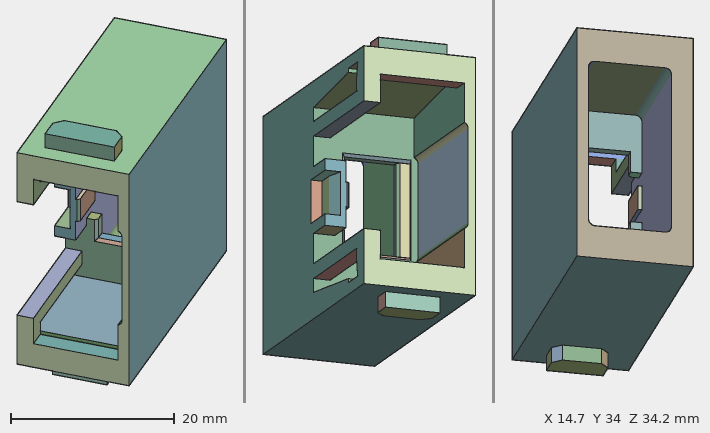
import cadquery as cq


WIDTH = 14.65
DEPTH = 34.0
OVERALL_HEIGHT = 34.2
TAB_HEIGHT = 2.0
BODY_HEIGHT = OVERALL_HEIGHT - 2 * TAB_HEIGHT

TAB_FRONT = 2.33
TAB_BACK = 6.05
TAB_CHAMFER = 1.1
TOP_TAB_X = (2.8, 11.85)
BOTTOM_TAB_X = (3.75, 10.88)

CAVITY_DEPTH = 16.93
CAVITY_HALF_HEIGHT = 11.73
CAVITY_LEFT = 2.15
CAVITY_RIGHT = 13.15
MOUTH_HALF_HEIGHT = 8.1
RELIEF_RIGHT = 13.68
RELIEF_HALF_HEIGHT = 6.77
RELIEF_RADIUS = 0.8

WINDOW_INNER_Z = 10.0
WINDOW_FRONT = 2.43
UNDERCUT_FRONT = 2.12
UNDERCUT_Z = 13.6
STEP_Y = 5.23
STEP_Z = 13.1

WEB_BACK = 18.5
OPENING_LEFT = 4.17
OPENING_RIGHT = 11.15
OPENING_HALF_HEIGHT = 6.0
LEAD_IN = 0.38
RECESS_RIGHT = 12.8
LEDGE_Y = 17.37
LEDGE_BEVEL = 0.38
NOTCH_HALF_HEIGHT = 3.3

REAR_RIGHT = CAVITY_RIGHT
REAR_HALF_HEIGHT = 10.88
REAR_RADIUS = RELIEF_RADIUS

LATCH_FRONT = 13.1
LATCH_THICKNESS = 2.77
LATCH_HALF_HEIGHT = 4.25
POCKET_HALF_HEIGHT = 2.77
POCKET_BACK = 17.85
POCKET_BEND_Y = 15.42
POCKET_FRONT_X = 2.05
POCKET_X = 1.45
RIB_HALF_HEIGHT = 1.57
RIB_FRONT_X = 2.9
RIB_X = 3.25


def box(x_range, y_range, z_range):
    """Box spanning the given (low, high) ranges."""
    size = [high - low for low, high in (x_range, y_range, z_range)]
    corner = (x_range[0], y_range[0], z_range[0])
    return cq.Workplane("XY").box(*size, centered=False).translate(corner)


def centred_box(x_range, y_range, half_height):
    """Box that is symmetric about Z = 0."""
    return box(x_range, y_range, (-half_height, half_height))


def centred_plate(xy_points, half_height):
    """Polygon in the XY plane extruded equally to both sides of Z = 0."""
    return cq.Workplane("XY").polyline(xy_points).close().extrude(half_height, both=True)


def tab(x_range, z_bottom):
    """Locating tab with its two rear corners chamfered."""
    block = box(x_range, (TAB_FRONT, TAB_BACK), (z_bottom, z_bottom + TAB_HEIGHT))
    return block.edges("|Z and >Y").chamfer(TAB_CHAMFER)


def front_cavity():
    """Main cavity with its mouth through the latch-side wall and the channel in the far wall."""
    y_range = (0, CAVITY_DEPTH)
    main = centred_box((CAVITY_LEFT, CAVITY_RIGHT), y_range, CAVITY_HALF_HEIGHT)
    mouth = centred_box((0, CAVITY_RIGHT), y_range, MOUTH_HALF_HEIGHT)
    relief = centred_box((CAVITY_LEFT, RELIEF_RIGHT), y_range, RELIEF_HALF_HEIGHT)
    relief = relief.edges("|Y and >X").fillet(RELIEF_RADIUS)
    return main.union(mouth).union(relief)


def upper_window():
    """Side window with a sloped, stepped roof that undercuts the cavity ceiling."""
    outline = [
        (WINDOW_FRONT, WINDOW_INNER_Z),
        (WINDOW_FRONT, CAVITY_HALF_HEIGHT),
        (UNDERCUT_FRONT, UNDERCUT_Z),
        (STEP_Y, UNDERCUT_Z),
        (STEP_Y, STEP_Z),
        (CAVITY_DEPTH, CAVITY_HALF_HEIGHT),
        (CAVITY_DEPTH, WINDOW_INNER_Z),
    ]
    return cq.Workplane("YZ").polyline(outline).close().extrude(CAVITY_RIGHT)


def web_opening():
    """Opening through the web, with a lead-in, a ledge on the far side and a notch by the latch."""
    through = centred_plate(
        [
            (OPENING_LEFT, CAVITY_DEPTH),
            (RECESS_RIGHT, CAVITY_DEPTH),
            (RECESS_RIGHT, LEDGE_Y),
            (OPENING_RIGHT + LEDGE_BEVEL, LEDGE_Y),
            (OPENING_RIGHT, LEDGE_Y + LEDGE_BEVEL),
            (OPENING_RIGHT, WEB_BACK),
            (OPENING_LEFT, WEB_BACK),
        ],
        OPENING_HALF_HEIGHT,
    )
    lead_in = centred_box(
        (OPENING_LEFT - LEAD_IN, RECESS_RIGHT),
        (CAVITY_DEPTH, CAVITY_DEPTH + LEAD_IN),
        OPENING_HALF_HEIGHT + LEAD_IN,
    )
    for z_side in (1, -1):
        wedge = [
            (CAVITY_DEPTH, z_side * (OPENING_HALF_HEIGHT + LEAD_IN)),
            (CAVITY_DEPTH + LEAD_IN, z_side * (OPENING_HALF_HEIGHT + LEAD_IN)),
            (CAVITY_DEPTH + LEAD_IN, z_side * OPENING_HALF_HEIGHT),
        ]
        lead_in = lead_in.cut(cq.Workplane("YZ").polyline(wedge).close().extrude(WIDTH))
    left_wedge = [
        (OPENING_LEFT - LEAD_IN, CAVITY_DEPTH),
        (OPENING_LEFT - LEAD_IN, CAVITY_DEPTH + LEAD_IN),
        (OPENING_LEFT, CAVITY_DEPTH + LEAD_IN),
    ]
    lead_in = lead_in.cut(centred_plate(left_wedge, BODY_HEIGHT / 2))
    notch = centred_box((LATCH_THICKNESS, OPENING_LEFT), (CAVITY_DEPTH, WEB_BACK), NOTCH_HALF_HEIGHT)
    return through.union(lead_in).union(notch)


def rear_cavity():
    """Round-cornered cavity that is open at the back of the housing."""
    cavity = centred_box((LATCH_THICKNESS, REAR_RIGHT), (WEB_BACK, DEPTH), REAR_HALF_HEIGHT)
    return cavity.edges("|Y").fillet(REAR_RADIUS)


def latch():
    """Block standing forward of the web, with a bevelled rib on its inner face."""
    block = centred_box((0, LATCH_THICKNESS), (LATCH_FRONT, CAVITY_DEPTH), LATCH_HALF_HEIGHT)
    rib = centred_plate(
        [
            (LATCH_THICKNESS, LATCH_FRONT),
            (RIB_FRONT_X, LATCH_FRONT),
            (RIB_X, LATCH_FRONT + RIB_X - RIB_FRONT_X),
            (RIB_X, WEB_BACK),
            (LATCH_THICKNESS, WEB_BACK),
        ],
        RIB_HALF_HEIGHT,
    )
    return block.union(rib)


def latch_pocket():
    """Pocket in the outer face of the latch, deeper towards its open front."""
    return centred_plate(
        [
            (0, LATCH_FRONT),
            (POCKET_FRONT_X, LATCH_FRONT),
            (POCKET_X, POCKET_BEND_Y),
            (POCKET_X, POCKET_BACK),
            (0, POCKET_BACK),
        ],
        POCKET_HALF_HEIGHT,
    )


housing = centred_box((0, WIDTH), (0, DEPTH), BODY_HEIGHT / 2)
housing = housing.union(tab(TOP_TAB_X, BODY_HEIGHT / 2))
housing = housing.union(tab(BOTTOM_TAB_X, -OVERALL_HEIGHT / 2))

window = upper_window()
for void in (front_cavity(), window, window.mirror("XY"), web_opening(), rear_cavity()):
    housing = housing.cut(void)

result = housing.union(latch()).cut(latch_pocket())